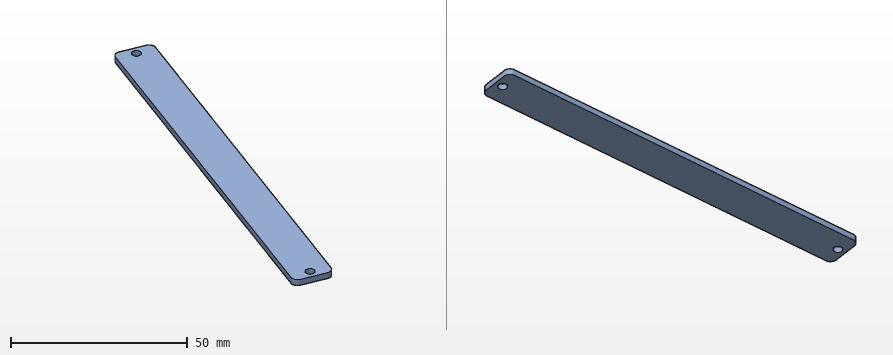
import cadquery as cq

length = 126.4
width = 12.4
thickness = 2.0
corner_radius = 2.0

hole_diameter = 2.8
hole_edge_distance = 2.7
hole_spacing = length - 2 * hole_edge_distance

plate = cq.Workplane("XY").box(length, width, thickness).edges("|Z").fillet(corner_radius)

result = (
    plate.faces(">Z")
    .workplane()
    .rarray(hole_spacing, 1.3, 2, 1)
    .hole(hole_diameter)
)